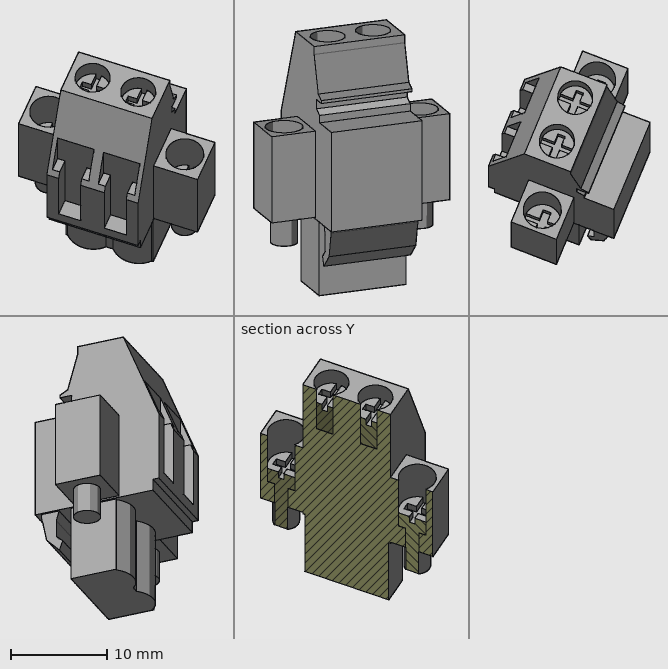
import cadquery as cq


pole_pitch = 5.1
pole_count = 2
total_height = 27.2
total_width = 19.96
pole_positions = [(i - (pole_count - 1) / 2) * pole_pitch for i in range(pole_count)]

block_width = pole_count * pole_pitch
block_depth = 14.1
block_bottom = 8.32
step_depth = 0.68
step_top = 9.6
slope_bottom = 17.25
top_front = 4.05
top_back = 9.25
back_slope_top = 26.33
back_slope_bottom = 22.33
back_slope_foot = 10.4
ridge_tip = 11.25
ridge_shoulder = 21.9
ridge_underside = 21.57
groove_floor = 9.93
groove_bottom = 20.55
ledge_lip = 10.77
ledge_lip_top = 20.1
ledge_top = 19.28

entry_depth = 1.82
entry_width = 4.05
entry_bottom = 18.0
entry_offset = 2.55
wire_slot_width = 2.45
wire_slot_bottom = 10.85

plug_width = 9.75
plug_back = 10.12
plug_front = 4.98
lobe_front = 4.03
lobe_width = 4.3

latch_width = plug_width
latch_root_outer = 13.46
latch_root_inner = 11.45
latch_bend_outer = (12.9, 5.2)
latch_toe = (11.42, 3.67)
latch_tip = (11.05, 4.7)
latch_bend_inner = 11.78
latch_inner_low = 5.39
latch_inner_high = 7.24
latch_root_straight = 0.35

flange_width = (total_width - block_width) / 2
flange_depth = pole_pitch
flange_center_y = 7.07
flange_bottom = 8.5
flange_top = 18.0
flange_height = flange_top - flange_bottom
flange_center_x = block_width / 2 + flange_width / 2
flange_screw_x = 7.6

flange_head_diameter = 3.95
flange_head_height = 1.9
flange_head_top = flange_top - flange_height / 2
flange_head_bottom = flange_head_top - flange_head_height
flange_shank_diameter = 2.83
flange_shank_bottom = 5.3
flange_recess_length = 2.67
flange_recess_width = 0.87

terminal_screw_y = 6.7
terminal_screw_diameter = 3.65
terminal_screw_sink = 1.9
terminal_screw_length = 3.8
terminal_screw_top = total_height - terminal_screw_sink
terminal_screw_bottom = terminal_screw_top - terminal_screw_length
terminal_recess_length = 2.55
terminal_recess_width = 0.8

drive_slot_width = 0.6
drive_depth = 0.82


def box(x_center, width, y_range, z_range):
    """Box centred on x_center, between the given Y and Z limits."""
    y_low, y_high = y_range
    z_low, z_high = z_range
    return cq.Workplane("XY").box(
        width, y_high - y_low, z_high - z_low, centered=(True, False, False)
    ).translate((x_center, y_low, z_low))


def cylinder(x, y, diameter, z_low, z_high):
    """Upright cylinder between two heights."""
    return cq.Workplane("XY", origin=(x, y, z_low)).circle(diameter / 2).extrude(z_high - z_low)


def side_profile(points, width):
    """Extrude a closed (Y, Z) outline evenly to both sides of X = 0."""
    return cq.Workplane("YZ").polyline(points).close().extrude(width / 2, both=True)


def main_block():
    outline = [
        (step_depth, block_bottom),
        (step_depth, step_top),
        (0, step_top),
        (0, slope_bottom),
        (top_front, total_height),
        (top_back, total_height),
        (top_back, back_slope_top),
        (back_slope_foot, back_slope_bottom),
        (ridge_tip, ridge_shoulder),
        (ridge_tip, ridge_underside),
        (groove_floor, ridge_underside),
        (groove_floor, groove_bottom),
        (ledge_lip, ledge_lip_top),
        (ledge_lip, ledge_top),
        (block_depth, ledge_top),
        (block_depth, block_bottom),
    ]
    return side_profile(outline, block_width)


def wire_entries():
    """T-shaped openings, each a wide mouth in the slope above a narrow slot."""
    cuts = cq.Workplane("XY")
    for pole_x in pole_positions:
        mouth_x = entry_offset if pole_x > 0 else -entry_offset
        mouth = box(mouth_x, entry_width, (0, entry_depth), (entry_bottom, total_height))
        slot = box(pole_x, wire_slot_width, (0, entry_depth), (wire_slot_bottom, total_height))
        cuts = cuts.add(mouth).add(slot)
    return cuts.combine()


def plug():
    """Plug with a flat back and one rounded lobe per pole along the front."""
    outline = (
        cq.Workplane("XY")
        .moveTo(-plug_width / 2, plug_back)
        .lineTo(-plug_width / 2, plug_front)
    )
    for pole_x in pole_positions:
        outline = (
            outline.lineTo(pole_x - lobe_width / 2, plug_front)
            .threePointArc((pole_x, lobe_front), (pole_x + lobe_width / 2, plug_front))
        )
    outline = outline.lineTo(plug_width / 2, plug_front).lineTo(plug_width / 2, plug_back)
    return outline.close().extrude(block_bottom)


def latch():
    outline = [
        (latch_root_outer, block_bottom),
        (latch_root_outer, block_bottom - latch_root_straight),
        latch_bend_outer,
        latch_toe,
        latch_tip,
        (latch_bend_inner, latch_inner_low),
        (latch_bend_inner, latch_inner_high),
        (latch_root_inner, block_bottom),
    ]
    return side_profile(outline, latch_width)


def flange(side):
    y_range = (flange_center_y - flange_depth / 2, flange_center_y + flange_depth / 2)
    return box(side * flange_center_x, flange_width, y_range, (flange_bottom, flange_top))


def flange_bore(side):
    """Stepped hole for the head and shank of a flange screw."""
    x = side * flange_screw_x
    head_bore = cylinder(x, flange_center_y, flange_head_diameter, flange_head_bottom, flange_top)
    shank_bore = cylinder(x, flange_center_y, flange_shank_diameter, flange_bottom, flange_head_bottom)
    return head_bore.union(shank_bore)


def terminal_bore(x):
    return cylinder(x, terminal_screw_y, terminal_screw_diameter, terminal_screw_bottom, total_height)


def cross_recess(x, y, top, slot_length, cross_length, cross_width):
    """Screwdriver recess: a slot right across the head and a shorter, wider bar over it."""
    z_range = (top - drive_depth, top)
    slot = box(x, drive_slot_width, (y - slot_length / 2, y + slot_length / 2), z_range)
    bar = box(x, cross_length, (y - cross_width / 2, y + cross_width / 2), z_range)
    return slot.union(bar)


def make_housing():
    body = main_block().cut(wire_entries()).union(plug()).union(latch())
    for side in (-1, 1):
        body = body.union(flange(side)).cut(flange_bore(side))
    for pole_x in pole_positions:
        body = body.cut(terminal_bore(pole_x))
    return body


def make_terminal_screw(x):
    """Headless screw that clamps one wire."""
    screw = cylinder(
        x, terminal_screw_y, terminal_screw_diameter, terminal_screw_bottom, terminal_screw_top
    )
    recess = cross_recess(
        x, terminal_screw_y, terminal_screw_top,
        terminal_screw_diameter, terminal_recess_length, terminal_recess_width,
    )
    return screw.cut(recess)


def make_flange_screw(side):
    """Headed screw whose shank passes down out of its flange."""
    x = side * flange_screw_x
    head = cylinder(x, flange_center_y, flange_head_diameter, flange_head_bottom, flange_head_top)
    shank = cylinder(
        x, flange_center_y, flange_shank_diameter, flange_shank_bottom, flange_head_bottom
    )
    recess = cross_recess(
        x, flange_center_y, flange_head_top,
        flange_head_diameter, flange_recess_length, flange_recess_width,
    )
    return head.union(shank).cut(recess)


housing = make_housing()
terminal_screws = [make_terminal_screw(pole_x) for pole_x in pole_positions]
flange_screws = [make_flange_screw(side) for side in (-1, 1)]

result = cq.Compound.makeCompound(
    [housing.solids().val()]
    + [screw.solids().val() for screw in terminal_screws]
    + [screw.solids().val() for screw in flange_screws]
)